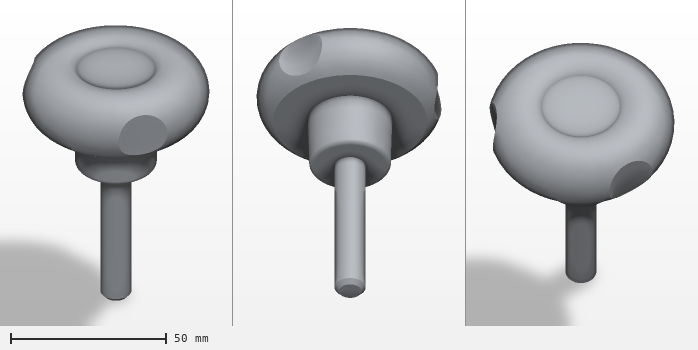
import cadquery as cq
import math

total_height = 88.5
head_diameter = 60.0

stud_diameter = 10.0
stud_length = 50.0
stud_chamfer = 1.5
stud_tip_radius = 3.6

hub_height = 18.1
hub_top_radius = 13.6
hub_bottom_radius = 13.1
hub_fillet = 1.5

rim_radius = 11.0
dish_radius = 12.5

scallop_count = 3
scallop_first_angle = 90.0
scallop_radius = 20.0
scallop_floor_distance = 27.1

hub_bottom_z = stud_length
head_bottom_z = hub_bottom_z + hub_height
rim_center_r = head_diameter / 2 - rim_radius
rim_center_z = total_height - rim_radius
dish_floor_z = rim_center_z + math.sqrt(rim_radius**2 - (rim_center_r - dish_radius) ** 2)
head_bottom_radius = rim_center_r + math.sqrt(rim_radius**2 - (rim_center_z - head_bottom_z) ** 2)


def make_stud():
    """Plain round stud with a conical tip, rising from Z = 0 into the hub."""
    stud_radius = stud_diameter / 2
    profile = (
        cq.Workplane("XZ")
        .lineTo(stud_tip_radius, 0)
        .lineTo(stud_radius, stud_chamfer)
        .lineTo(stud_radius, head_bottom_z)
        .lineTo(0, head_bottom_z)
        .close()
    )
    return profile.revolve()


def make_hub():
    """Slightly tapered hub with a rounded lower edge."""
    profile = (
        cq.Workplane("XZ")
        .moveTo(0, hub_bottom_z)
        .lineTo(hub_bottom_radius, hub_bottom_z)
        .lineTo(hub_top_radius, head_bottom_z)
        .lineTo(0, head_bottom_z)
        .close()
    )
    return profile.revolve().faces("<Z").edges().fillet(hub_fillet)


def make_head():
    """Rounded rim: one circular arc from the flat underside over the top to the dish floor."""
    profile = (
        cq.Workplane("XZ")
        .moveTo(0, head_bottom_z)
        .lineTo(head_bottom_radius, head_bottom_z)
        .threePointArc((rim_center_r, total_height), (dish_radius, dish_floor_z))
        .lineTo(0, dish_floor_z)
        .close()
    )
    return profile.revolve()


def make_scallops():
    """Upright cylinders that cut the finger scallops out of the rim."""
    return (
        cq.Workplane("XY", origin=(0, 0, head_bottom_z))
        .polarArray(scallop_floor_distance + scallop_radius, scallop_first_angle, 360, scallop_count)
        .circle(scallop_radius)
        .extrude(total_height - head_bottom_z)
    )


head = make_head().cut(make_scallops())
result = head.union(make_hub()).union(make_stud())